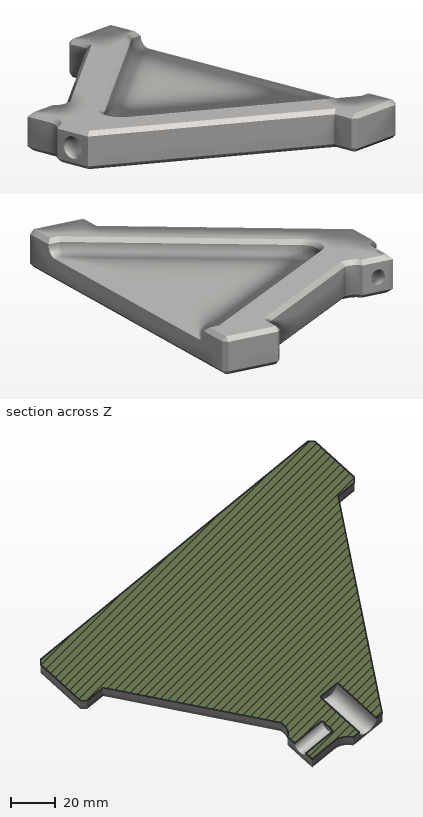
import cadquery as cq
import math

width = 168.0
length = 125.0
thickness = 18.0
edge_chamfer = 2.0
half_width = width / 2

ear_depth = 29.9
ear_inner_x = 72.0
tip_half_width = 8.9
side_slope = (length - ear_depth) / (ear_inner_x - tip_half_width)
side_angle = math.atan(side_slope)

lug_x = -30.0
lug_front_y = -120.6
lug_back_y = -105.0
side_notch_x = -27.2
side_notch_radius = 5.5
side_notch_center_y = -99.8
front_notch_radius = 8.5
front_notch_land = 0.8

pocket_depth = 7.2
pocket_half_width = 66.2
pocket_tip_radius = 8.0
pocket_tip_center_y = -91.2
cove_radius = 5.0

tip_hole_diameter = 10.5
tip_hole_depth = 25.2
lug_hole_diameter = 7.0
lug_hole_depth = 16.8
lug_hole_y = (lug_front_y + lug_back_y) / 2


def side_y(x):
    """Y of the slanted side at distance x from the centre line."""
    return -length + side_slope * (abs(x) - tip_half_width)


def arc_midpoint(center, radius, start, end):
    """Point halfway along the short arc between two points on a circle."""
    dx = (start[0] + end[0]) / 2 - center[0]
    dy = (start[1] + end[1]) / 2 - center[1]
    scale = radius / math.hypot(dx, dy)
    return (center[0] + dx * scale, center[1] + dy * scale)


def make_plate():
    side_center = (side_notch_x - side_notch_radius, side_notch_center_y)
    side_start = (side_notch_x, side_notch_center_y)
    side_dx = lug_x - side_center[0]
    side_end = (lug_x, side_notch_center_y - math.sqrt(side_notch_radius**2 - side_dx**2))

    front_end = (-tip_half_width - front_notch_land, -length + front_notch_land)
    front_center_y = lug_front_y - front_notch_radius
    front_dx = math.sqrt(front_notch_radius**2 - (front_end[1] - front_center_y) ** 2)
    front_start = (front_end[0] - front_dx, lug_front_y)
    front_center = (front_start[0], front_center_y)

    return (
        cq.Workplane("XY")
        .moveTo(-half_width, 0)
        .lineTo(-half_width, -ear_depth)
        .lineTo(-ear_inner_x, -ear_depth)
        .lineTo(side_notch_x, side_y(side_notch_x))
        .lineTo(*side_start)
        .threePointArc(arc_midpoint(side_center, side_notch_radius, side_start, side_end), side_end)
        .lineTo(lug_x, lug_front_y)
        .lineTo(*front_start)
        .threePointArc(arc_midpoint(front_center, front_notch_radius, front_start, front_end), front_end)
        .lineTo(-tip_half_width, -length)
        .lineTo(tip_half_width, -length)
        .lineTo(ear_inner_x, -ear_depth)
        .lineTo(half_width, -ear_depth)
        .lineTo(half_width, 0)
        .close()
        .extrude(thickness)
    )


def make_pocket():
    tangent_x = pocket_tip_radius * math.sin(side_angle)
    tangent_y = pocket_tip_center_y - pocket_tip_radius * math.cos(side_angle)
    corner_y = tangent_y + side_slope * (pocket_half_width - tangent_x)
    overrun = 8.4
    cutter = (
        cq.Workplane("XY", origin=(0, 0, thickness - pocket_depth))
        .moveTo(-pocket_half_width, overrun)
        .lineTo(-pocket_half_width, corner_y)
        .lineTo(-tangent_x, tangent_y)
        .threePointArc((0, pocket_tip_center_y - pocket_tip_radius), (tangent_x, tangent_y))
        .lineTo(pocket_half_width, corner_y)
        .lineTo(pocket_half_width, overrun)
        .close()
        .extrude(pocket_depth)
    )
    return cutter.faces("<Z").edges("not >Y").fillet(cove_radius)


def make_holes():
    tip_hole = (
        cq.Workplane("XZ", origin=(0, -length, thickness / 2))
        .circle(tip_hole_diameter / 2)
        .extrude(-tip_hole_depth)
    )
    lug_hole = (
        cq.Workplane("YZ", origin=(lug_x, lug_hole_y, thickness / 2))
        .circle(lug_hole_diameter / 2)
        .extrude(lug_hole_depth)
    )
    return tip_hole.add(lug_hole)


body = make_plate().cut(make_pocket())
rims = body.faces(">Z or <Z").edges()
ear_corners = body.faces("<X or >X").edges("|Z")
result = body.newObject(rims.vals() + ear_corners.vals()).chamfer(edge_chamfer)
result = result.cut(make_holes())